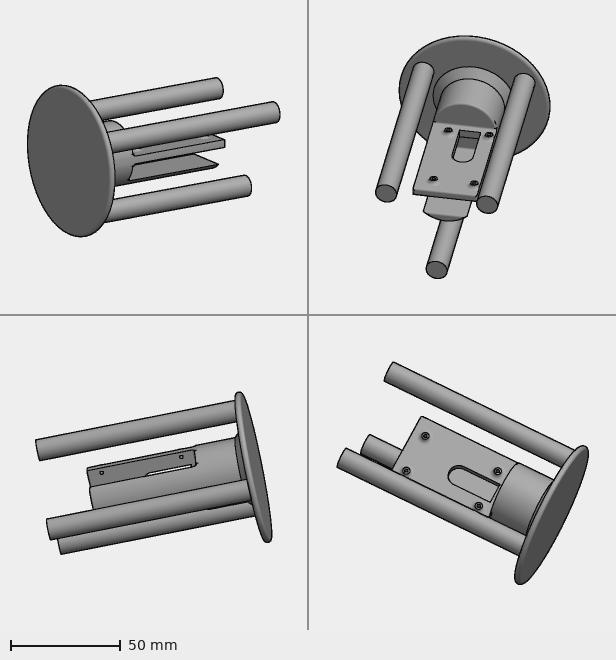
import cadquery as cq

length = 97.0
disc_diameter = 70.0
disc_thickness = 3.0

rod_diameter = 9.8
rod_circle_radius = 27.1
rod_count = 3

hub_diameter = 30.0
hub_radius = hub_diameter / 2
hub_end = 26.0
flare_height = 4.0
edge_radius = 1.0

arm_end = 76.1
plate_thickness = 3.8
plate_top = plate_thickness / 2
lower_arm_top = -11.0

slot_width = rod_diameter
slot_center_x = -3.0
slot_start = 28.9
slot_end = 52.4

boss_diameter = 3.3
boss_height = 2.0
boss_hole_diameter = 1.6
boss_spacing_x = 18.9
boss_y_positions = (32.4, 69.55)


def cylinder(diameter, start, end, x=0, z=0):
    """Cylinder along Y between two Y positions."""
    return (
        cq.Workplane("XZ", origin=(x, start, z))
        .circle(diameter / 2)
        .extrude(start - end)
    )


def make_disc():
    """Disc with a fully rounded edge."""
    outer_radius = disc_diameter / 2
    round_radius = disc_thickness / 2
    flat_radius = outer_radius - round_radius
    return (
        cq.Workplane("XY")
        .lineTo(flat_radius, 0)
        .threePointArc((outer_radius, round_radius), (flat_radius, disc_thickness))
        .lineTo(0, disc_thickness)
        .close()
        .revolve(360, (0, 0, 0), (0, 1, 0))
    )


def make_rods():
    """Rods equally spaced around the axis, the first one straight below it."""
    rod = cylinder(rod_diameter, disc_thickness / 2, length, z=-rod_circle_radius)
    rods = rod
    for index in range(1, rod_count):
        rods = rods.add(rod.rotate((0, 0, 0), (0, 1, 0), index * 360 / rod_count))
    return rods.combine()


def make_flare():
    """Cone that widens the hub at 45 degrees down to the disc."""
    flare_end = disc_thickness + flare_height
    return (
        cq.Workplane("XY")
        .moveTo(0, disc_thickness)
        .lineTo(hub_radius + flare_height, disc_thickness)
        .lineTo(hub_radius, flare_end)
        .lineTo(0, flare_end)
        .close()
        .revolve(360, (0, 0, 0), (0, 1, 0))
    )


def make_slab(start, end, bottom, top):
    """Block wider than the hub, between two Y and two Z positions."""
    size = (2 * hub_diameter, end - start, top - bottom)
    center = (0, (start + end) / 2, (bottom + top) / 2)
    return cq.Workplane("XY").box(*size).translate(center)


def make_channel(bottom, top):
    """Space beside an arm, running from the hub end past the arm tips."""
    channel = make_slab(hub_end, length, bottom, top)
    return channel.faces("<Y").edges("|X").fillet(edge_radius)


def make_rim_cut():
    """Ring that rounds the outer edge of the hub end."""
    inset = edge_radius * (1 - 0.5 ** 0.5)
    return (
        cq.Workplane("XY")
        .moveTo(hub_radius, hub_end - edge_radius)
        .lineTo(hub_radius, hub_end)
        .lineTo(hub_radius - edge_radius, hub_end)
        .threePointArc((hub_radius - inset, hub_end - inset), (hub_radius, hub_end - edge_radius))
        .close()
        .revolve(360, (0, 0, 0), (0, 1, 0))
    )


def make_hub_with_arms():
    """Round bar cut down to a solid hub, a middle plate and a lower arm.

    The rounding of the hub rim stops short of the fillets beside the arms.
    """
    body = cylinder(hub_diameter, disc_thickness / 2, arm_end)
    rim_cut = make_rim_cut()
    channels = ((plate_top, hub_diameter), (lower_arm_top, -plate_top))
    for bottom, top in channels:
        rounded_zone = make_slab(disc_thickness, hub_end, bottom + edge_radius, top - edge_radius)
        body = body.cut(make_channel(bottom, top))
        body = body.cut(rim_cut.intersect(rounded_zone))
    return body.faces(">Y").edges().fillet(edge_radius)


def make_slot():
    """Slot through the plate, square near the hub and round at the far end."""
    half_width = slot_width / 2
    arc_start = slot_end - half_width
    return (
        cq.Workplane("XY", origin=(slot_center_x, 0, -plate_top))
        .moveTo(-half_width, slot_start)
        .lineTo(half_width, slot_start)
        .lineTo(half_width, arc_start)
        .threePointArc((0, slot_end), (-half_width, arc_start))
        .close()
        .extrude(plate_thickness)
    )


def boss_points():
    offset = boss_spacing_x / 2
    return [(slot_center_x + side * offset, y) for side in (-1, 1) for y in boss_y_positions]


def make_boss(x, y):
    """Post with a concave foot that blends into the plate."""
    radius = boss_diameter / 2
    bend = boss_height * (1 - 0.5 ** 0.5)
    return (
        cq.Workplane("XZ")
        .lineTo(radius + boss_height, 0)
        .threePointArc((radius + bend, bend), (radius, boss_height))
        .lineTo(0, boss_height)
        .close()
        .revolve(360, (0, 0, 0), (0, 1, 0))
        .translate((x, y, plate_top))
    )


def make_bosses():
    """Bosses trimmed where they would overhang the round side of the plate."""
    bosses = cq.Workplane("XY")
    for x, y in boss_points():
        bosses = bosses.add(make_boss(x, y))
    return bosses.combine().intersect(cylinder(hub_diameter, hub_end, arm_end))


def make_boss_holes():
    return (
        cq.Workplane("XY", origin=(0, 0, -plate_top))
        .pushPoints(boss_points())
        .circle(boss_hole_diameter / 2)
        .extrude(plate_thickness + boss_height)
    )


carrier = make_hub_with_arms().cut(make_slot()).union(make_bosses()).cut(make_boss_holes())
result = make_disc().union(make_flare()).union(carrier).union(make_rods())